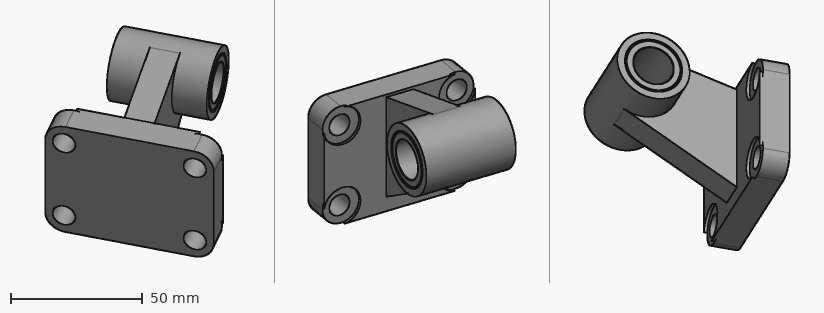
import cadquery as cq
import math

PLATE_WIDTH = 67.0
PLATE_HEIGHT = 51.0
PLATE_THICKNESS = 12.0
CORNER_RADIUS = 8.0

BOLT_HOLE_DIAMETER = 9.0
BOLT_SPACING_X = 52.0
BOLT_SPACING_Z = 35.0

RECESS_DIAMETER = 16.15
RECESS_DEPTH = 1.3

BARREL_DIAMETER = 29.0
BARREL_LENGTH = 39.7
AXIS_Y = 50.0
AXIS_Z = 45.0

BORE_DIAMETER = 16.0
BORE_CHAMFER = 0.2
BUSHING_DIAMETER = 22.0
BUSHING_CHAMFER = 0.3
SEAT_CHAMFER = 0.5

ARM_WIDTH = 12.0
ARM_TOP_SLOPE = math.radians(15.0)
ARM_BOTTOM_SLOPE = math.radians(30.0)

PLATE_MID_Z = PLATE_HEIGHT / 2
BARREL_RADIUS = BARREL_DIAMETER / 2
BORE_RADIUS = BORE_DIAMETER / 2
BUSHING_RADIUS = BUSHING_DIAMETER / 2


def corner_cylinders(diameter, spacing_x, spacing_z, start_y, length):
    """Four cylinders along +Y from start_y, in a rectangular pattern about the plate centre."""
    return (
        cq.Workplane("XZ", origin=(0, start_y, PLATE_MID_Z))
        .rarray(spacing_x, spacing_z, 2, 2)
        .circle(diameter / 2)
        .extrude(-length)
    )


def make_plate():
    """Rectangular plate with rounded corners, bolt holes and corner recesses."""
    plate = (
        cq.Workplane("XZ", origin=(0, 0, PLATE_MID_Z))
        .rect(PLATE_WIDTH, PLATE_HEIGHT)
        .extrude(-PLATE_THICKNESS)
        .edges("|Y")
        .fillet(CORNER_RADIUS)
    )
    holes = corner_cylinders(BOLT_HOLE_DIAMETER, BOLT_SPACING_X, BOLT_SPACING_Z, 0, PLATE_THICKNESS)
    recesses = corner_cylinders(
        RECESS_DIAMETER,
        PLATE_WIDTH - 2 * CORNER_RADIUS,
        PLATE_HEIGHT - 2 * CORNER_RADIUS,
        PLATE_THICKNESS - RECESS_DEPTH,
        RECESS_DEPTH,
    )
    return plate.cut(holes).cut(recesses)


def make_arm():
    """Tapered web whose sloping edges run tangent into the barrel."""
    top_tangent_y = AXIS_Y - BARREL_RADIUS * math.sin(ARM_TOP_SLOPE)
    top_tangent_z = AXIS_Z + BARREL_RADIUS * math.cos(ARM_TOP_SLOPE)
    bottom_tangent_y = AXIS_Y + BARREL_RADIUS * math.sin(ARM_BOTTOM_SLOPE)
    bottom_tangent_z = AXIS_Z - BARREL_RADIUS * math.cos(ARM_BOTTOM_SLOPE)
    top_root_z = top_tangent_z - (top_tangent_y - PLATE_THICKNESS) * math.tan(ARM_TOP_SLOPE)
    bottom_root_z = bottom_tangent_z - (bottom_tangent_y - PLATE_THICKNESS) * math.tan(ARM_BOTTOM_SLOPE)
    return (
        cq.Workplane("YZ")
        .moveTo(PLATE_THICKNESS, bottom_root_z)
        .lineTo(bottom_tangent_y, bottom_tangent_z)
        .lineTo(top_tangent_y, top_tangent_z)
        .lineTo(PLATE_THICKNESS, top_root_z)
        .close()
        .extrude(ARM_WIDTH / 2, both=True)
    )


def make_barrel():
    """Barrel and bushing revolved about the pivot axis from one section, symmetric about X = 0."""
    end = BARREL_LENGTH / 2
    right_end = [
        (end - BORE_CHAMFER, BORE_RADIUS),
        (end, BORE_RADIUS + BORE_CHAMFER),
        (end, BUSHING_RADIUS - BUSHING_CHAMFER),
        (end - BUSHING_CHAMFER, BUSHING_RADIUS),
        (end - SEAT_CHAMFER, BUSHING_RADIUS),
        (end, BUSHING_RADIUS + SEAT_CHAMFER),
        (end, BARREL_RADIUS),
    ]
    left_end = [(-x, radius) for x, radius in reversed(right_end)]
    return (
        cq.Workplane("XY", origin=(0, AXIS_Y, AXIS_Z))
        .polyline(right_end + left_end)
        .close()
        .revolve(360, (0, 0, 0), (1, 0, 0))
    )


def make_bore():
    """Cylinder that clears the arm out of the barrel bore."""
    return (
        cq.Workplane("YZ", origin=(0, AXIS_Y, AXIS_Z))
        .circle(BORE_RADIUS)
        .extrude(BARREL_LENGTH / 2, both=True)
    )


arm = make_arm().cut(make_bore())
result = make_plate().union(arm).union(make_barrel())